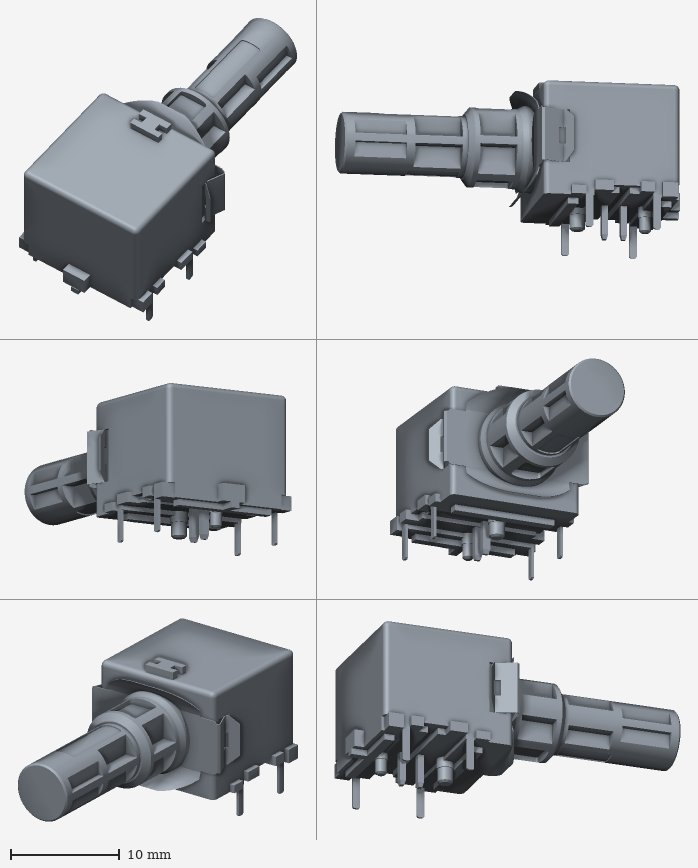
import cadquery as cq

HALF_WIDTH = 6.5
DEPTH = 12.7
TOP_Z = 5.25
BOTTOM_Z = -4.45
EDGE_RADIUS = 0.5
SIDE_NOTCH_TOP_Z = -4.1
SIDE_NOTCH_Y = (-10.25, -4.68)
LEG_THICKNESS = 0.25
LEG_WIDTH = 0.7
LEG_END_Z = -8.45
LEG_CHAMFER = 0.13
LEG_CENTRES_Y = (-4.25, -10.55)

KEY_TOP_Z = 6.0
KEY_HALF_WIDTH = 1.58
KEY_WAIST_HALF_WIDTH = 0.73
KEY_Y = (-2.43, -0.38)
KEY_WAIST_Y = (-1.83, -1.07)

PLATE_BOTTOM_Z = -5.47
RAISED_BOTTOM_Z = -5.05
TERMINAL_GAP_Y = (-8.12, -7.17)
TAB_HALF_SPAN = 7.0
TAB_INNER_X = 5.75
LOW_TAB_TOP_Z = -4.68
SIDE_TABS = (
    (-3.85, -2.5, PLATE_BOTTOM_Z, LOW_TAB_TOP_Z),
    (-6.4, SIDE_NOTCH_Y[1], RAISED_BOTTOM_Z, SIDE_NOTCH_TOP_Z),
    (SIDE_NOTCH_Y[0], -9.0, RAISED_BOTTOM_Z, SIDE_NOTCH_TOP_Z),
    (-12.45, -11.0, PLATE_BOTTOM_Z, SIDE_NOTCH_TOP_Z),
)
END_TAB_HALF_WIDTH = 1.2
END_TAB_Y = -13.62
END_TAB_TOP_Z = -3.82
FOOT_BOTTOM_Z = -6.05
TONGUE_X = (-0.25, 0.57)
TONGUE_Y = (-13.68, -11.2)
FOOT_HALF_WIDTH = 5.02
FEET_Y = ((-3.45, -2.5), (-12.15, TONGUE_Y[1]))
BOSS_END_Z = -7.45
BOSS_CHAMFER = 0.2
BOSS_PAD_MARGIN = 0.1
BOSSES = ((LEG_CENTRES_Y[0], 0.73), (LEG_CENTRES_Y[1], 0.55))

TERMINAL_CENTRES_Y = (-6.75, -8.53)
TERMINAL_SIZE = (0.73, 0.57)
TERMINAL_TIP_SIZE = (0.5, 0.35)
TERMINAL_TAPER_Z = -7.77
TERMINAL_END_Z = -8.22

BUSHING_RADIUS = 4.0
BUSHING_NOSE_RADIUS = 3.7
BUSHING_SHOULDER_Y = 0.92
BUSHING_LENGTH = 1.5
BUSHING_UNDERCUT = ((-2.53, 0), (-2.8, 0.3), (-BUSHING_RADIUS, 0.73))

SHAFT_RADIUS = 2.85
SHAFT_END_Y = 17.92
SHAFT_END_CHAMFER = 0.15
COLLAR_RADIUS = 3.7
COLLAR_Y = (BUSHING_LENGTH, 6.45)
COLLAR_CONE_LENGTH = 0.55
COLLAR_CONE_RADIUS = 3.03
RIB_HALF = 0.38
WIDE_RIB_HALF = 1.0
TIP_POCKET_Y = (12.17, 16.97)
TIP_POCKET_X = 2.25
INNER_POCKET_Y = (6.92, 11.35)
INNER_POCKET_X = 1.55
COLLAR_POCKET_Y = (2.0, 5.45)
COLLAR_POCKET_X = 2.25
COLLAR_FLAT_HALF_WIDTH = 1.5
COLLAR_FLAT_Z = 2.9
PANEL_HALF_WIDTH = 1.1
PANEL_FLOOR_RADIUS = 2.72
TOP_PANEL_Y = (6.92, 14.47)
BOTTOM_PANEL_Y = (6.92, 11.8)
PANEL_CORNER = 0.25

OVERALL_WIDTH = 15.2
SHEET = 0.1
CLIP_Y = 0.22
CLIP_BEND_Z = 2.85
CLIP_MID = (4.08, 0.75)
CLIP_TIP = (5.12, 1.77)
FLANGE_TIP_HALF_WIDTH = 1.45
FLANGE_SIDE = (3.25, 4.65)
FLANGE_END = (5.2, 3.48)
WING_HALF_HEIGHT = 2.7
WING_X = 6.8
ARM_HALF_HEIGHT = 2.45
ARM_TOP_X = 7.15
ARM_SHOULDER = (7.3, 0.05)
ARM_BEND = (6.48, -1.83)
LIP_END = (OVERALL_WIDTH / 2, -2.6)
LIP_TIP_HALF_HEIGHT = 1.55
SUPPORT_X = (4.5, 5.25)
SUPPORT_HALF_HEIGHT = 1.25
RECESS_DEPTH = 0.35
RECESS_Y = (-2.4, -0.73)
WINDOW_X = 6.73
WINDOW_Y = (-2.05, -1.33)
WINDOW_HALF_HEIGHT = 0.75

FAR = 18.95


def block(x_range, y_range, z_range):
    """Box between two limits along each axis, given in either order."""
    ranges = (x_range, y_range, z_range)
    size = [abs(b - a) for a, b in ranges]
    corner = [min(limits) for limits in ranges]
    return cq.Workplane("XY").box(*size, centered=False).translate(tuple(corner))


def side_block(side, x_range, y_range, z_range):
    """Box on the +X (side = 1) or -X (side = -1) half of the part."""
    return block((side * x_range[0], side * x_range[1]), y_range, z_range)


def turned(profile):
    """Solid of revolution about the Y axis from (radius, y) points."""
    return cq.Workplane("XY").polyline(profile).close().revolve(360, (0, 0, 0), (0, 1, 0))


def rounded_prism(half_width, y_range, z_range, corner):
    """Vertical prism with a rounded rectangular outline."""
    return block((-half_width, half_width), y_range, z_range).edges("|Z").fillet(corner)


def make_leg(side, centre_y):
    """Mounting leg in line with the side wall, chamfered at its end."""
    leg = side_block(
        side,
        (HALF_WIDTH - LEG_THICKNESS, HALF_WIDTH),
        (centre_y - LEG_WIDTH / 2, centre_y + LEG_WIDTH / 2),
        (LEG_END_Z, SIDE_NOTCH_TOP_Z),
    )
    return leg.faces("<Z").edges("|X").chamfer(LEG_CHAMFER)


def make_key():
    """H-shaped key that starts inside the housing's rounded edge."""
    key_z = (TOP_Z - EDGE_RADIUS, KEY_TOP_Z)
    key = block((-KEY_HALF_WIDTH, KEY_HALF_WIDTH), KEY_Y, key_z)
    for side in (-1, 1):
        key = key.cut(side_block(side, (KEY_WAIST_HALF_WIDTH, KEY_HALF_WIDTH), KEY_WAIST_Y, key_z))
    return key


def make_housing():
    housing = block((-HALF_WIDTH, HALF_WIDTH), (-DEPTH, 0), (BOTTOM_Z, TOP_Z))
    housing = housing.edges("|Z or >Z").fillet(EDGE_RADIUS).union(make_key())
    notch_z = (BOTTOM_Z, SIDE_NOTCH_TOP_Z)
    housing = housing.cut(block((-HALF_WIDTH, HALF_WIDTH), SIDE_NOTCH_Y, notch_z))
    for side in (-1, 1):
        rear_notch_x = (TAB_INNER_X, HALF_WIDTH)
        rear_notch_y = (-DEPTH, SIDE_TABS[-1][1])
        housing = housing.cut(side_block(side, rear_notch_x, rear_notch_y, notch_z))
        recess_x = (HALF_WIDTH - RECESS_DEPTH, HALF_WIDTH)
        recess_z = (-ARM_HALF_HEIGHT, ARM_HALF_HEIGHT)
        housing = housing.cut(side_block(side, recess_x, RECESS_Y, recess_z))
        support_z = (-SUPPORT_HALF_HEIGHT, SUPPORT_HALF_HEIGHT)
        housing = housing.union(side_block(side, SUPPORT_X, (0, CLIP_Y), support_z))
        for centre_y in LEG_CENTRES_Y:
            housing = housing.union(make_leg(side, centre_y))
    return housing


def make_boss(centre_y, radius):
    """Round locating boss on a slightly wider pad."""
    boss = cq.Workplane("XY", origin=(0, centre_y, BOTTOM_Z)).circle(radius).extrude(BOSS_END_Z - BOTTOM_Z)
    boss = boss.faces("<Z").chamfer(BOSS_CHAMFER)
    pad = cq.Workplane("XY", origin=(0, centre_y, BOTTOM_Z)).circle(radius + BOSS_PAD_MARGIN)
    return boss.union(pad.extrude(FOOT_BOTTOM_Z - BOTTOM_Z))


def make_base(housing):
    width = (-HALF_WIDTH, HALF_WIDTH)
    base = block(width, (-DEPTH, 0), (PLATE_BOTTOM_Z, BOTTOM_Z)).edges("|Z").fillet(EDGE_RADIUS)
    base = base.union(block(width, SIDE_NOTCH_Y, (BOTTOM_Z, SIDE_NOTCH_TOP_Z)))
    base = base.cut(block(width, SIDE_NOTCH_Y, (PLATE_BOTTOM_Z, RAISED_BOTTOM_Z)))
    base = base.cut(block(width, TERMINAL_GAP_Y, (PLATE_BOTTOM_Z, BOTTOM_Z)))
    middle_y = (SIDE_TABS[2][1], SIDE_TABS[1][0])
    rear_corner_y = (-DEPTH, SIDE_TABS[-1][0])
    for side in (-1, 1):
        inset_x = (TAB_INNER_X, HALF_WIDTH)
        for inset_y in (middle_y, rear_corner_y):
            base = base.cut(side_block(side, inset_x, inset_y, (PLATE_BOTTOM_Z, BOTTOM_Z)))
        tab_x = (TAB_INNER_X, TAB_HALF_SPAN)
        for start_y, end_y, bottom_z, top_z in SIDE_TABS:
            base = base.union(side_block(side, tab_x, (start_y, end_y), (bottom_z, top_z)))
    end_tab_x = (-END_TAB_HALF_WIDTH, END_TAB_HALF_WIDTH)
    base = base.union(block(end_tab_x, (END_TAB_Y, -DEPTH), (PLATE_BOTTOM_Z, END_TAB_TOP_Z)))
    base = base.union(block(TONGUE_X, TONGUE_Y, (FOOT_BOTTOM_Z, PLATE_BOTTOM_Z)))
    foot_x = (-FOOT_HALF_WIDTH, FOOT_HALF_WIDTH)
    for foot_y in FEET_Y:
        base = base.union(block(foot_x, foot_y, (FOOT_BOTTOM_Z, PLATE_BOTTOM_Z)))
    for centre_y, radius in BOSSES:
        base = base.union(make_boss(centre_y, radius))
    return base.cut(housing)


def make_terminal(centre_y):
    """Rectangular pin with a tapered tip, standing on the underside of the base."""
    shank = cq.Workplane("XY", origin=(0, centre_y, RAISED_BOTTOM_Z)).rect(*TERMINAL_SIZE)
    shank = shank.extrude(TERMINAL_TAPER_Z - RAISED_BOTTOM_Z)
    tip = cq.Workplane("XY", origin=(0, centre_y, TERMINAL_TAPER_Z)).rect(*TERMINAL_SIZE)
    tip = tip.workplane(offset=TERMINAL_END_Z - TERMINAL_TAPER_Z).rect(*TERMINAL_TIP_SIZE).loft()
    return shank.union(tip)


def make_bushing():
    bushing = turned([
        (0, 0),
        (BUSHING_RADIUS, 0),
        (BUSHING_RADIUS, BUSHING_SHOULDER_Y),
        (BUSHING_NOSE_RADIUS, BUSHING_LENGTH),
        (0, BUSHING_LENGTH),
    ])
    undercut = cq.Workplane("XY").polyline([*BUSHING_UNDERCUT, (-BUSHING_RADIUS, 0)]).close()
    return bushing.cut(undercut.extrude(BUSHING_RADIUS, both=True))


def cut_pockets(shaft, wall_x, y_range, plus_x_rib):
    """Pockets above and below a rib on each side of the shaft, open outwards."""
    for side, rib in ((-1, RIB_HALF), (1, plus_x_rib)):
        for z_side in (-1, 1):
            shaft = shaft.cut(side_block(side, (wall_x, FAR), y_range, (z_side * rib, z_side * FAR)))
    return shaft


def make_shaft():
    shaft = turned([
        (0, COLLAR_Y[0]),
        (COLLAR_RADIUS, COLLAR_Y[0]),
        (COLLAR_RADIUS, COLLAR_Y[1] - COLLAR_CONE_LENGTH),
        (COLLAR_CONE_RADIUS, COLLAR_Y[1]),
        (SHAFT_RADIUS, COLLAR_Y[1]),
        (SHAFT_RADIUS, SHAFT_END_Y - SHAFT_END_CHAMFER),
        (SHAFT_RADIUS - SHAFT_END_CHAMFER, SHAFT_END_Y),
        (0, SHAFT_END_Y),
    ])
    shaft = cut_pockets(shaft, TIP_POCKET_X, TIP_POCKET_Y, RIB_HALF)
    shaft = cut_pockets(shaft, INNER_POCKET_X, INNER_POCKET_Y, WIDE_RIB_HALF)
    shaft = cut_pockets(shaft, COLLAR_POCKET_X, COLLAR_POCKET_Y, WIDE_RIB_HALF)
    panel_core = turned([(0, 0), (PANEL_FLOOR_RADIUS, 0), (PANEL_FLOOR_RADIUS, FAR), (0, FAR)])
    for z_side, panel_y in ((1, TOP_PANEL_Y), (-1, BOTTOM_PANEL_Y)):
        flat_z = (z_side * COLLAR_FLAT_Z, z_side * FAR)
        shaft = shaft.cut(rounded_prism(COLLAR_FLAT_HALF_WIDTH, COLLAR_POCKET_Y, flat_z, PANEL_CORNER))
        panel = rounded_prism(PANEL_HALF_WIDTH, panel_y, (0, z_side * FAR), PANEL_CORNER)
        shaft = shaft.cut(panel.cut(panel_core))
    return shaft


def make_clip_plate():
    """Flat middle with a curved flange above and below and a hole for the bushing."""
    tip_z, tip_y = CLIP_TIP
    mid_z, mid_y = CLIP_MID
    sheet = (
        cq.Workplane("YZ")
        .moveTo(tip_y, -tip_z)
        .threePointArc((mid_y, -mid_z), (CLIP_Y, -CLIP_BEND_Z))
        .lineTo(CLIP_Y, CLIP_BEND_Z)
        .threePointArc((mid_y, mid_z), (tip_y, tip_z))
        .lineTo(tip_y + SHEET, tip_z)
        .threePointArc((mid_y + SHEET, mid_z), (CLIP_Y + SHEET, CLIP_BEND_Z))
        .lineTo(CLIP_Y + SHEET, -CLIP_BEND_Z)
        .threePointArc((mid_y + SHEET, -mid_z), (tip_y + SHEET, -tip_z))
        .close()
        .extrude(FAR, both=True)
    )
    quarter = (
        cq.Workplane("XZ")
        .lineTo(0, tip_z)
        .lineTo(FLANGE_TIP_HALF_WIDTH, tip_z)
        .threePointArc(FLANGE_SIDE, FLANGE_END)
        .lineTo(FLANGE_END[0], WING_HALF_HEIGHT)
        .lineTo(WING_X, WING_HALF_HEIGHT)
        .lineTo(WING_X + WING_HALF_HEIGHT - ARM_HALF_HEIGHT, ARM_HALF_HEIGHT)
        .lineTo(ARM_TOP_X, ARM_HALF_HEIGHT)
        .lineTo(ARM_TOP_X, 0)
        .close()
        .extrude(-FAR)
    )
    outline = quarter.union(quarter.mirror("YZ"))
    outline = outline.union(outline.mirror("XY"))
    hole = turned([(0, 0), (BUSHING_RADIUS, 0), (BUSHING_RADIUS, FAR), (0, FAR)])
    return sheet.intersect(outline).cut(hole)


def make_clip_arm():
    """Arm on the +X side: leans in to the housing recess, then turns out as a tapered lip."""
    path = [(ARM_TOP_X, CLIP_Y + SHEET), ARM_SHOULDER, ARM_BEND, LIP_END]
    inner_path = [(x - SHEET, y) for x, y in reversed(path)]
    arm = cq.Workplane("XY").polyline(path + inner_path).close().extrude(ARM_HALF_HEIGHT, both=True)
    lip_taper = ARM_HALF_HEIGHT - LIP_TIP_HALF_HEIGHT
    for z_side in (-1, 1):
        corner = cq.Workplane("XZ").polyline([
            (LIP_END[0], z_side * LIP_TIP_HALF_HEIGHT),
            (LIP_END[0], z_side * ARM_HALF_HEIGHT),
            (LIP_END[0] - lip_taper, z_side * ARM_HALF_HEIGHT),
        ]).close().extrude(FAR)
        below_bend = corner.intersect(block((0, FAR), (-FAR, ARM_BEND[1]), (-FAR, FAR)))
        arm = arm.cut(below_bend)
    window_z = (-WINDOW_HALF_HEIGHT, WINDOW_HALF_HEIGHT)
    return arm.cut(block((0, WINDOW_X), WINDOW_Y, window_z))


def make_clip():
    arm = make_clip_arm()
    return make_clip_plate().union(arm).union(arm.mirror("YZ"))


housing = make_housing()
base = make_base(housing)
terminals = [make_terminal(centre_y) for centre_y in TERMINAL_CENTRES_Y]
bushing = make_bushing()
shaft = make_shaft()
clip = make_clip()

result = cq.Compound.makeCompound([
    housing.val(),
    base.val(),
    *[terminal.val() for terminal in terminals],
    bushing.val(),
    shaft.val(),
    clip.val(),
])